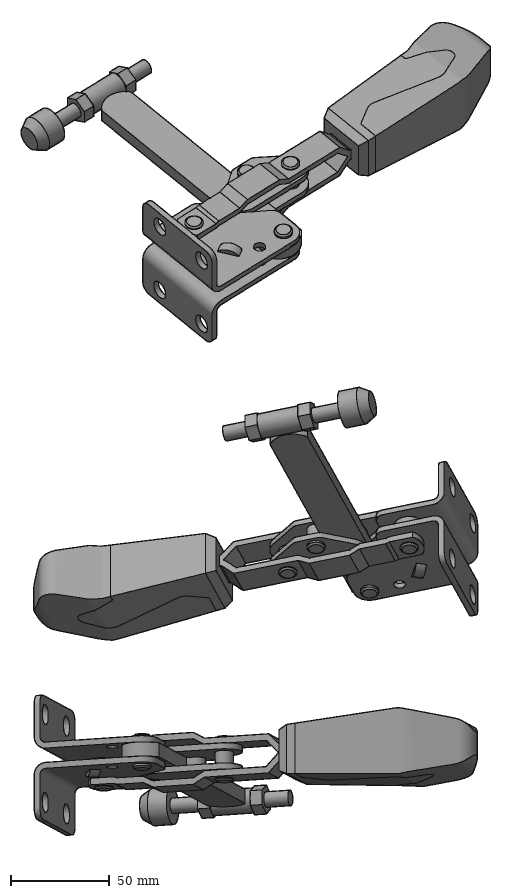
import cadquery as cq
import math


ARM_THICKNESS = 7.3
ARM_HALF = ARM_THICKNESS / 2
SHEET = 3.0
SHEET_OUTER = ARM_HALF + SHEET
LEVER_SHEET = 3.3
LEVER_OUTER = SHEET_OUTER + LEVER_SHEET
TALL = 88.5

LEVER_PIVOT = (0.0, 23.0)
HANDLE_PIVOT = (0.0, 87.7)
LINK_PIVOT = (-12.0, 68.7)
ARM_PIVOT = (32.1, 55.0)
PIN_R = 2.9
HEAD_R = 4.7
HEAD_CHAMFER = 0.9
LEVER_HEAD = 1.3
SHEET_HEAD = 2.0
SPACER_R = 7.8

BASE_LEFT = -13.0
BASE_RIGHT = 40.3
BASE_CORNER_R = BASE_RIGHT - ARM_PIVOT[0]
BASE_TOP = ARM_PIVOT[1] + BASE_CORNER_R
SHOULDER_Y = 37.7
SHOULDER_R = 5.0
NECK_LOWER_X = 0.2
NECK_UPPER_X = 18.2
NECK_R = 6.6
FLANGE_SPAN = 64.0
FLANGE_HALF = FLANGE_SPAN / 2
FLANGE_CORNER_R = 5.0
BEND_OUTER_R = 2 * SHEET
SLOT_WIDTH = 8.9
SLOT_LENGTH = 10.2
SLOT_Z = 22.5
STOP_HOLE_D = 6.0
STOP_HOLE_Y = 39.0
BEAD_CENTER = (24.1, 26.0)
BEAD_LENGTH = 11.5
BEAD_WIDTH = 5.3
BEAD_HEIGHT = 2.7
BEAD_ANGLE = 31.0

LINK_R = 9.0
LINK_LEFT = -18.4
LINK_LOWER_Y = ARM_PIVOT[1]
LINK_CORNER_R = 4.2
LINK_EDGE_ANGLE = 36.4

SPINDLE_X = -107.6
ARM_HEIGHT = 20.0
ARM_LEFT = -101.5
ARM_RIGHT = 39.9
ARM_END_BULGE = 5.3
LUG_R = 4.7
SLEEVE_D = 12.8
SLEEVE_LENGTH = 21.7
SPINDLE_R = 4.0
SPINDLE_TOP = 85.0
NUT_ACROSS_FLATS = 13.0
NUT_HEIGHT = 6.5
PAD_R = 9.5
PAD_TIP_R = 6.5
PAD_TIP_Y = 6.5
PAD_CONE_Y = 11.7
PAD_TOP_Y = 22.0

LEVER_WIDTH = 15.3
LEVER_HALF_WIDTH = LEVER_WIDTH / 2
LEVER_END_Y = 15.7
LEVER_END_SIDE_Y = 18.5
TANG_LENGTH = 39.9
LEVER_SPREAD_Y = 114.0
LEVER_JOG = 3.3
LEVER_STEP = 0.7
LEVER_JOG_YS = (79.7, 73.8, 52.3, 47.0)
LEVER_STEP_YS = (33.0, 31.0)

GRIP_FACE_Y = 121.5
GRIP_CHAMFER_Y = 126.5
GRIP_RIDGE_Y = 187.2
GRIP_NOSE_Y = 213.0
GRIP_NOSE_TIP_Y = 223.0
GRIP_FACE_HALF = 10.5
GRIP_CHAMFER_HALF = 12.6
GRIP_RIDGE_HALF = 17.0
GRIP_NOSE_HALF = 12.0
GRIP_SEAM_LEFT_Y = 176.5
GRIP_SEAM_RIGHT_Y = 131.1
GRIP_CORNERS = [
    (-13.0, GRIP_FACE_Y, 0),
    (13.3, GRIP_FACE_Y, 0),
    (15.5, GRIP_CHAMFER_Y, 0),
    (17.7, 189.2, 26.5),
    (1.3, 225.7, 10.2),
    (-26.8, 209.8, 9.0),
    (-17.0, 181.2, 0),
    (-15.5, GRIP_CHAMFER_Y, 0),
]
GRIP_SEAM_CORNERS = [
    (4.2, GRIP_SEAM_RIGHT_Y, 1.3),
    (-2.9, 142.9, 6.6),
    (8.5, 183.2, 8.9),
    (-2.9, 204.2, 4.0),
    (-13.5, GRIP_SEAM_LEFT_Y, 1.3),
]


def rounded_outline(corners):
    """XY outline through (x, y, radius) corners, each rounded by a tangent arc."""
    arcs = []
    count = len(corners)
    for i, (x, y, radius) in enumerate(corners):
        corner = cq.Vector(x, y)
        before = (cq.Vector(*corners[i - 1][:2]) - corner).normalized()
        after = (cq.Vector(*corners[(i + 1) % count][:2]) - corner).normalized()
        half_angle = before.getAngle(after) / 2
        setback = radius / math.tan(half_angle)
        to_middle = radius / math.sin(half_angle) - radius
        middle = corner + (before + after).normalized() * to_middle
        arcs.append((corner + before * setback, middle, corner + after * setback, radius))
    outline = cq.Workplane("XY").moveTo(*arcs[-1][2].toTuple()[:2])
    for start, middle, end, radius in arcs:
        outline = outline.lineTo(start.x, start.y)
        if radius > 0:
            outline = outline.threePointArc((middle.x, middle.y), (end.x, end.y))
    return outline.close()


def plate(outline, bottom, top):
    """Extrude an XY outline from Z = bottom to Z = top."""
    return outline.extrude(top - bottom).translate((0, 0, bottom))


def with_mirror(half):
    """Add the copy of a shape mirrored in the mid-plane."""
    return half.union(half.mirror("XY"))


def cylinder(center, radius, half_length):
    """Cylinder along Z, centred on the mid-plane."""
    return plate(cq.Workplane("XY").center(*center).circle(radius), -half_length, half_length)


def rivet(center, shoulder, head_height):
    """Pin along Z with a chamfered head on each end, seated at Z = +-shoulder."""
    top = shoulder + head_height
    head = plate(cq.Workplane("XY").center(*center).circle(HEAD_R), shoulder, top)
    head = head.faces(">Z").chamfer(HEAD_CHAMFER)
    return cylinder(center, PIN_R, shoulder).union(with_mirror(head))


def base_plate_outline():
    return rounded_outline([
        (BASE_LEFT, 0, 0),
        (BASE_RIGHT, 0, 0),
        (BASE_RIGHT, BASE_TOP, BASE_CORNER_R),
        (NECK_UPPER_X, BASE_TOP, NECK_R),
        (NECK_LOWER_X, SHOULDER_Y, 0),
        (BASE_LEFT, SHOULDER_Y, SHOULDER_R),
    ])


def base_angle():
    """Upright sheet and flange with a rounded bend, on the +Z side."""
    length = BASE_RIGHT - BASE_LEFT
    angle = (
        cq.Workplane("YZ", origin=(BASE_LEFT, 0, 0))
        .moveTo(0, ARM_HALF)
        .lineTo(BASE_TOP, ARM_HALF)
        .lineTo(BASE_TOP, SHEET_OUTER)
        .lineTo(SHEET, SHEET_OUTER)
        .lineTo(SHEET, FLANGE_HALF)
        .lineTo(0, FLANGE_HALF)
        .close()
        .extrude(length)
    )
    bend_inner = cq.selectors.NearestToPointSelector((BASE_LEFT + length / 2, SHEET, SHEET_OUTER))
    bend_outer = cq.selectors.NearestToPointSelector((BASE_LEFT + length / 2, 0, ARM_HALF))
    angle = angle.edges("|X").edges(bend_inner).fillet(BEND_OUTER_R - SHEET)
    angle = angle.edges("|X").edges(bend_outer).fillet(BEND_OUTER_R)
    angle = angle.edges("|Y and >Z").fillet(FLANGE_CORNER_R)
    return angle.intersect(plate(base_plate_outline(), 0, FLANGE_HALF))


def stop_bead():
    """Arched bead standing on the outer face of a base plate."""
    half = BEAD_LENGTH / 2
    return (
        cq.Workplane("XZ", origin=(0, BEAD_WIDTH / 2, 0))
        .moveTo(-half, 0)
        .threePointArc((0, BEAD_HEIGHT), (half, 0))
        .close()
        .extrude(BEAD_WIDTH)
        .rotate((0, 0, 0), (0, 0, 1), BEAD_ANGLE)
        .translate((*BEAD_CENTER, SHEET_OUTER))
    )


def make_base():
    half = base_angle().union(stop_bead())
    slots = (
        cq.Workplane("XZ")
        .pushPoints([(LEVER_PIVOT[0], SLOT_Z), (ARM_PIVOT[0], SLOT_Z)])
        .slot2D(SLOT_LENGTH, SLOT_WIDTH, 90)
        .extrude(2 * SHEET, both=True)
    )
    body = with_mirror(half.cut(slots))
    body = body.cut(cylinder((ARM_PIVOT[0], STOP_HOLE_Y), STOP_HOLE_D / 2, TALL))
    body = body.union(cylinder(LEVER_PIVOT, SPACER_R, ARM_HALF))
    body = body.union(rivet(ARM_PIVOT, SHEET_OUTER, SHEET_HEAD))
    return body.union(rivet(LEVER_PIVOT, LEVER_OUTER, LEVER_HEAD))


def link_outline():
    """Two equal lobes, with edges that slant from them to a straight left side."""
    upper_y = HANDLE_PIVOT[1]
    angle = math.radians(LINK_EDGE_ANGLE)
    apex_rise = LINK_R / math.tan(angle / 2)
    corner_drop = (LINK_R - LINK_LEFT) / math.tan(angle) - apex_rise
    return rounded_outline([
        (LINK_LEFT, upper_y - corner_drop, LINK_CORNER_R),
        (LINK_LEFT, LINK_LOWER_Y + corner_drop, LINK_CORNER_R),
        (LINK_R, LINK_LOWER_Y - apex_rise, LINK_R),
        (LINK_R, upper_y + apex_rise, LINK_R),
    ])


def make_links():
    body = with_mirror(plate(link_outline(), ARM_HALF, SHEET_OUTER))
    body = body.union(cylinder(HANDLE_PIVOT, HEAD_R, ARM_HALF))
    body = body.union(rivet(HANDLE_PIVOT, LEVER_OUTER, LEVER_HEAD))
    return body.union(rivet(LINK_PIVOT, SHEET_OUTER, SHEET_HEAD))


def spindle_cylinder(radius, bottom_y, top_y):
    """Cylinder on the spindle axis."""
    return (
        cq.Workplane("XZ", origin=(SPINDLE_X, bottom_y, 0)).circle(radius).extrude(bottom_y - top_y)
    )


def make_arm():
    middle_y = ARM_PIVOT[1]
    low = middle_y - ARM_HEIGHT / 2
    high = middle_y + ARM_HEIGHT / 2
    bar = (
        cq.Workplane("XY")
        .moveTo(ARM_LEFT + ARM_END_BULGE, low)
        .lineTo(ARM_RIGHT - ARM_END_BULGE, low)
        .threePointArc((ARM_RIGHT, middle_y), (ARM_RIGHT - ARM_END_BULGE, high))
        .lineTo(ARM_LEFT + ARM_END_BULGE, high)
        .threePointArc((ARM_LEFT, middle_y), (ARM_LEFT + ARM_END_BULGE, low))
        .close()
        .extrude(ARM_HALF, both=True)
    )
    lug_foot = LINK_PIVOT[1] - middle_y
    lug = (
        cq.Workplane("XY")
        .center(LINK_PIVOT[0], middle_y + lug_foot / 2)
        .rect(2 * LUG_R, lug_foot)
        .extrude(ARM_HALF, both=True)
        .union(cylinder(LINK_PIVOT, LUG_R, ARM_HALF))
    )
    sleeve_low = middle_y - SLEEVE_LENGTH / 2
    sleeve_high = middle_y + SLEEVE_LENGTH / 2
    arm = bar.union(lug).union(spindle_cylinder(SLEEVE_D / 2, sleeve_low, sleeve_high))
    arm = arm.cut(spindle_cylinder(SPINDLE_R, sleeve_low, sleeve_high))
    for pivot in (ARM_PIVOT, LINK_PIVOT):
        arm = arm.cut(cylinder(pivot, PIN_R, ARM_HALF))
    return arm


def nut(bottom_y):
    """Hexagonal nut with a flat facing -X."""
    across_corners = NUT_ACROSS_FLATS / math.cos(math.pi / 6)
    return (
        cq.Workplane("XZ", origin=(SPINDLE_X, bottom_y, 0))
        .transformed(rotate=(0, 0, 90))
        .polygon(6, across_corners)
        .extrude(-NUT_HEIGHT)
    )


def make_spindle():
    profile = [
        (0, PAD_TIP_Y),
        (PAD_TIP_R, PAD_TIP_Y),
        (PAD_R, PAD_CONE_Y),
        (PAD_R, PAD_TOP_Y),
        (SPINDLE_R, PAD_TOP_Y),
        (SPINDLE_R, SPINDLE_TOP),
        (0, SPINDLE_TOP),
    ]
    body = (
        cq.Workplane("XY", origin=(SPINDLE_X, 0, 0))
        .polyline(profile)
        .close()
        .revolve(360, (0, 0), (0, 1))
    )
    upper_nut_y = ARM_PIVOT[1] + SLEEVE_LENGTH / 2
    lower_nut_y = ARM_PIVOT[1] - SLEEVE_LENGTH / 2 - NUT_HEIGHT
    for bottom_y in (lower_nut_y, upper_nut_y):
        body = body.union(nut(bottom_y))
    return body


def lever_strip_profile():
    """YZ outline of the +Z strip, from the tang to the free end and back along the inside."""
    spread = LEVER_OUTER - LEVER_SHEET
    spread_inner_y = LEVER_SPREAD_Y - LEVER_SHEET * math.tan(math.pi / 8)
    rises = (0, LEVER_JOG, LEVER_JOG, LEVER_STEP, LEVER_STEP, 0)
    bends = list(zip(LEVER_JOG_YS + LEVER_STEP_YS, rises))
    tang_end = GRIP_FACE_Y + TANG_LENGTH
    outer = [(tang_end, LEVER_SHEET)]
    outer += [(LEVER_SPREAD_Y + spread, LEVER_SHEET), (LEVER_SPREAD_Y, LEVER_OUTER)]
    outer += [(y, LEVER_OUTER + rise) for y, rise in bends]
    outer += [(LEVER_END_Y, LEVER_OUTER)]
    inner = [(tang_end, 0), (spread_inner_y + spread, 0), (spread_inner_y, SHEET_OUTER)]
    inner += [(y, SHEET_OUTER + rise) for y, rise in bends]
    inner += [(LEVER_END_Y, SHEET_OUTER)]
    return outer + inner[::-1]


def make_lever():
    strip = (
        cq.Workplane("YZ").polyline(lever_strip_profile()).close().extrude(LEVER_HALF_WIDTH, both=True)
    )
    outline = (
        cq.Workplane("XY")
        .moveTo(LEVER_HALF_WIDTH, LEVER_END_SIDE_Y)
        .lineTo(LEVER_HALF_WIDTH, GRIP_FACE_Y + TANG_LENGTH)
        .lineTo(-LEVER_HALF_WIDTH, GRIP_FACE_Y + TANG_LENGTH)
        .lineTo(-LEVER_HALF_WIDTH, LEVER_END_SIDE_Y)
        .threePointArc((0, LEVER_END_Y), (LEVER_HALF_WIDTH, LEVER_END_SIDE_Y))
        .close()
    )
    lever = with_mirror(strip.intersect(plate(outline, 0, TALL)))
    for pivot in (LEVER_PIVOT, HANDLE_PIVOT):
        lever = lever.cut(cylinder(pivot, PIN_R, LEVER_OUTER))
    return lever


def grip_form():
    """Outer form of the whole grip: its XY outline trimmed by its YZ outline."""
    side = rounded_outline(GRIP_CORNERS).extrude(TALL, both=True)
    thickness = (
        cq.Workplane("YZ")
        .moveTo(GRIP_FACE_Y, -GRIP_FACE_HALF)
        .lineTo(GRIP_CHAMFER_Y, -GRIP_CHAMFER_HALF)
        .lineTo(GRIP_RIDGE_Y, -GRIP_RIDGE_HALF)
        .lineTo(GRIP_NOSE_Y, -GRIP_NOSE_HALF)
        .threePointArc((GRIP_NOSE_TIP_Y, 0), (GRIP_NOSE_Y, GRIP_NOSE_HALF))
        .lineTo(GRIP_RIDGE_Y, GRIP_RIDGE_HALF)
        .lineTo(GRIP_CHAMFER_Y, GRIP_CHAMFER_HALF)
        .lineTo(GRIP_FACE_Y, GRIP_FACE_HALF)
        .close()
        .extrude(TALL, both=True)
    )
    return side.intersect(thickness)


def grip_body_region():
    """Region on the lever side of the seam, reaching past the grip on its outer sides."""
    return rounded_outline([
        (-TALL, 0, 0),
        (TALL, 0, 0),
        (TALL, GRIP_SEAM_RIGHT_Y, 0),
        *GRIP_SEAM_CORNERS,
        (-TALL, GRIP_SEAM_LEFT_Y, 0),
    ]).extrude(TALL, both=True)


base = make_base()
links = make_links()
arm = make_arm()
spindle = make_spindle()
lever = make_lever()
grip = grip_form().cut(lever)
grip_body = grip.intersect(grip_body_region())
grip_head = grip.cut(grip_body_region())

result = cq.Compound.makeCompound([
    base.solids().val(),
    links.solids().val(),
    arm.solids().val(),
    spindle.solids().val(),
    lever.solids().val(),
    grip_body.solids().val(),
    grip_head.solids().val(),
])